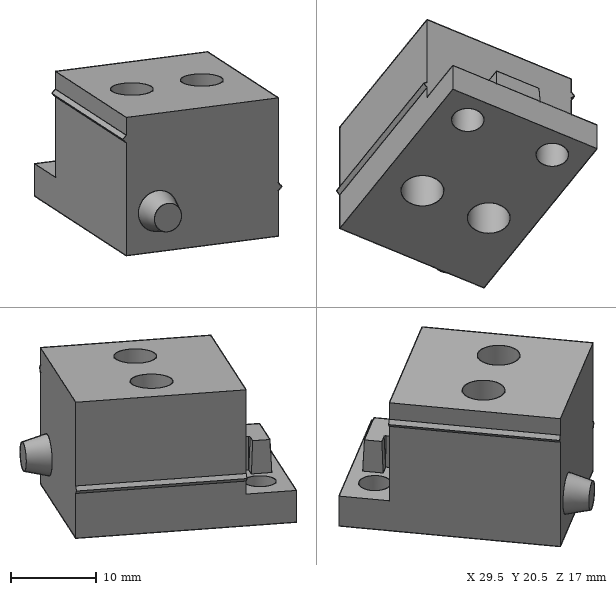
import cadquery as cq

base_length = 26.55
width = 19.6
height = 17.0
foot_length = 6.05
foot_height = 3.98
body_length = base_length - foot_length

overall_width = 20.5
ridge_depth = (overall_width - width) / 2
ridge_half_height = 0.47
front_ridge_z = 14.35
back_ridge_z = 6.08

body_hole_diameter = 5.02
body_hole_x = 16.28
body_hole_spacing = 9.0
foot_hole_diameter = 3.8
foot_hole_x = 3.5
foot_hole_spacing = 11.48

key_start_x = 1.5
key_head_length = 2.45
key_head_width = 6.1
key_stem_width = 3.07
key_height = 4.07
key_draft = 2.5
key_overlap = 0.6

pin_length = 2.95
pin_root_diameter = 5.0
pin_tip_diameter = 3.48
pin_y = -foot_hole_spacing / 2
pin_z = 5.02


def make_block():
    foot = cq.Workplane("XY").box(foot_length, width, foot_height, centered=(False, True, False))
    body = cq.Workplane("XY").box(body_length, width, height, centered=(False, True, False))
    return foot.union(body.translate((foot_length, 0, 0)))


def make_ridge(side, z):
    """V ridge along the body; side is -1 for the -Y face and +1 for the +Y face."""
    face_y = side * width / 2
    return (
        cq.Workplane("YZ", origin=(foot_length, 0, 0))
        .moveTo(face_y, z - ridge_half_height)
        .lineTo(face_y + side * ridge_depth, z)
        .lineTo(face_y, z + ridge_half_height)
        .close()
        .extrude(body_length)
    )


def make_key():
    head_end_x = key_start_x + key_head_length
    stem_end_x = foot_length + key_overlap
    half_head = key_head_width / 2
    half_stem = key_stem_width / 2
    outline = [
        (key_start_x, -half_head),
        (head_end_x, -half_head),
        (head_end_x, -half_stem),
        (stem_end_x, -half_stem),
        (stem_end_x, half_stem),
        (head_end_x, half_stem),
        (head_end_x, half_head),
        (key_start_x, half_head),
    ]
    return (
        cq.Workplane("XY", origin=(0, 0, foot_height))
        .polyline(outline)
        .close()
        .extrude(key_height, taper=key_draft)
    )


def make_pin():
    return (
        cq.Workplane("YZ", origin=(base_length, pin_y, pin_z))
        .circle(pin_root_diameter / 2)
        .workplane(offset=pin_length)
        .circle(pin_tip_diameter / 2)
        .loft(ruled=True)
    )


def make_hole_pair(x, spacing, diameter):
    return (
        cq.Workplane("XY")
        .pushPoints([(x, -spacing / 2), (x, spacing / 2)])
        .circle(diameter / 2)
        .extrude(height)
    )


result = (
    make_block()
    .union(make_ridge(-1, front_ridge_z))
    .union(make_ridge(1, back_ridge_z))
    .union(make_key())
    .union(make_pin())
    .cut(make_hole_pair(body_hole_x, body_hole_spacing, body_hole_diameter))
    .cut(make_hole_pair(foot_hole_x, foot_hole_spacing, foot_hole_diameter))
)